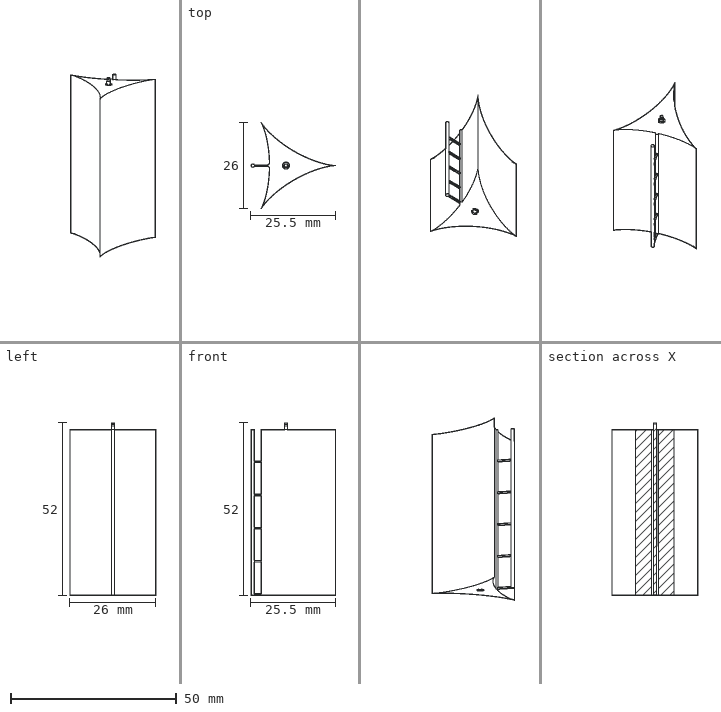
import cadquery as cq
import math

BODY_HEIGHT = 50.0
ROLLING_RADIUS = 5.0
FACET_COUNT = 100

BORE_DIAMETER = 2.0

CORE_DIAMETER = 1.0
SQUARE_WIDTH = 1.0
SQUARE_HEIGHT = 1.0
COLLAR_DIAMETER = 1.0
COLLAR_HEIGHT = 0.5
TIP_DIAMETER = 1.0
TIP_SIDES = 6
TIP_HEIGHT = 0.5

POST_DIAMETER = 1.0
INNER_POST_X = -ROLLING_RADIUS
LADDER_WIDTH = 5.0
OUTER_POST_X = INNER_POST_X - LADDER_WIDTH
BAR_SIZE = 0.5
RUNG_SPACING = 10.0
RUNG_COUNT = 5


def deltoid_point(angle):
    """Point of the deltoid at the given angle in radians; one cusp is on +X."""
    x = ROLLING_RADIUS * (2 * math.cos(angle) + math.cos(2 * angle))
    y = ROLLING_RADIUS * (2 * math.sin(angle) - math.sin(2 * angle))
    return x, y


def cylinder(diameter, height, x=0.0, z=0.0):
    """Upright cylinder centred on (x, 0) with its base at z."""
    return cq.Workplane("XY", origin=(x, 0, z)).circle(diameter / 2).extrude(height)


def bar_along_x(x_start, x_end, z):
    """Square bar between two X positions with its underside at z."""
    length = x_end - x_start
    middle = (x_start + x_end) / 2
    return cq.Workplane("XY", origin=(middle, 0, z)).rect(length, BAR_SIZE).extrude(BAR_SIZE)


def make_body():
    """Faceted deltoid prism with the bore running right through it."""
    step = 2 * math.pi / FACET_COUNT
    outline = [deltoid_point(i * step) for i in range(FACET_COUNT)]
    prism = cq.Workplane("XY").polyline(outline).close().extrude(BODY_HEIGHT)
    return prism.cut(cylinder(BORE_DIAMETER, BODY_HEIGHT))


def make_ladder():
    """Both posts and the evenly spaced rungs, the lowest flush with the base."""
    ladder = cylinder(POST_DIAMETER, BODY_HEIGHT, x=OUTER_POST_X)
    ladder = ladder.union(cylinder(POST_DIAMETER, BODY_HEIGHT, x=INNER_POST_X))
    for i in range(RUNG_COUNT):
        ladder = ladder.union(bar_along_x(OUTER_POST_X, INNER_POST_X, i * RUNG_SPACING))
    return ladder


def square_block(z):
    """Square length of the stem with its base at z."""
    return cq.Workplane("XY", origin=(0, 0, z)).rect(SQUARE_WIDTH, SQUARE_WIDTH).extrude(SQUARE_HEIGHT)


def make_stem():
    """Stepped stem on the axis, tied to the bore wall by a crossbar at the base."""
    collar_z = BODY_HEIGHT + SQUARE_HEIGHT
    tip_z = collar_z + COLLAR_HEIGHT
    core = cylinder(CORE_DIAMETER, BODY_HEIGHT)
    collar = cylinder(COLLAR_DIAMETER, COLLAR_HEIGHT, z=collar_z)
    tip_plane = cq.Workplane("XY", origin=(0, 0, tip_z))
    tip = tip_plane.polygon(TIP_SIDES, TIP_DIAMETER).extrude(TIP_HEIGHT)
    crossbar = bar_along_x(-BORE_DIAMETER, BORE_DIAMETER, 0)
    stem = core.union(square_block(0)).union(square_block(BODY_HEIGHT))
    return stem.union(collar).union(tip).union(crossbar)


result = make_body().union(make_ladder()).union(make_stem())